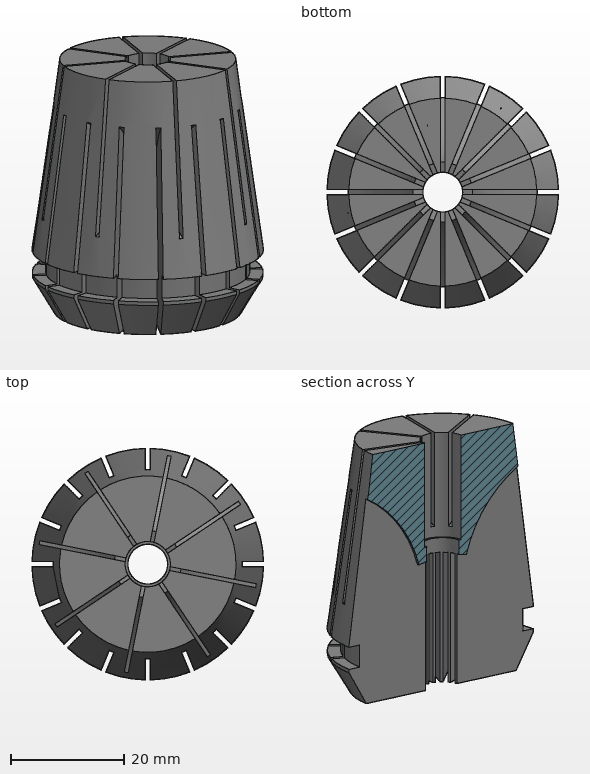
import cadquery as cq
import math

length = 46.0
outer_diameter = 41.0
outer_radius = outer_diameter / 2
nose_radius = 16.6
flange_edge_z = 6.4
groove_bottom_z = 7.05
groove_top_z = 11.15
groove_radius = 18.1
flange_radius = 20.42
taper_angle = 8.0

bore_radius = 3.5
relief_radius = 4.0
relief_depth = 19.3

bottom_slot_count = 16
bottom_slot_width = 0.87
bottom_slot_end_z = 37.85
bottom_slot_ridge_z = 23.65
bottom_slot_ridge_radius = 5.3
bottom_slot_arc_radius = 23.7

top_slot_count = 8
top_slot_width = 0.7
top_slot_end_z = 18.12
top_slot_ridge_z = 29.03
top_slot_ridge_radius = 5.95
top_slot_arc_radius = 18.25

ridge_slope = 10.0

clearance = 2.3


def taper_radius(z):
    """Outer radius of the long taper at height z."""
    return outer_radius - (z - groove_top_z) * math.tan(math.radians(taper_angle))


def make_body():
    """Tapered sleeve with the nose flange, groove and stepped bore."""
    step_z = length - relief_depth
    return (
        cq.Workplane("XZ")
        .moveTo(bore_radius, 0)
        .lineTo(nose_radius, 0)
        .lineTo(flange_radius, flange_edge_z)
        .lineTo(flange_radius, groove_bottom_z)
        .lineTo(groove_radius, groove_bottom_z)
        .lineTo(groove_radius, groove_top_z)
        .lineTo(outer_radius, groove_top_z)
        .lineTo(taper_radius(length), length)
        .lineTo(relief_radius, length)
        .lineTo(relief_radius, step_z)
        .lineTo(bore_radius, step_z)
        .close()
        .revolve(360, (0, 0, 0), (0, 1, 0))
    )


def make_slot(open_z, end_z, ridge_z, ridge_radius, arc_radius, width):
    """Cutter for one radial slot along +X, from the open end to its curved floor."""
    side = math.copysign(1, end_z - open_z)
    far_radius = outer_radius + clearance
    start_z = open_z - side * clearance
    axis_z = ridge_z + side * ridge_radius * math.tan(math.radians(ridge_slope))
    return (
        cq.Workplane("XZ")
        .moveTo(0, start_z)
        .lineTo(far_radius, start_z)
        .lineTo(far_radius, end_z)
        .lineTo(taper_radius(end_z), end_z)
        .radiusArc((ridge_radius, ridge_z), -side * arc_radius)
        .lineTo(0, axis_z)
        .close()
        .extrude(width / 2, both=True)
    )


def cut_ring(body, slot, count, first_angle):
    """Cut the slot count times, evenly spaced around the axis."""
    for index in range(count):
        angle = first_angle + index * 360 / count
        body = body.cut(slot.rotate((0, 0, 0), (0, 0, 1), angle))
    return body


bottom_slot = make_slot(
    open_z=0,
    end_z=bottom_slot_end_z,
    ridge_z=bottom_slot_ridge_z,
    ridge_radius=bottom_slot_ridge_radius,
    arc_radius=bottom_slot_arc_radius,
    width=bottom_slot_width,
)
top_slot = make_slot(
    open_z=length,
    end_z=top_slot_end_z,
    ridge_z=top_slot_ridge_z,
    ridge_radius=top_slot_ridge_radius,
    arc_radius=top_slot_arc_radius,
    width=top_slot_width,
)

half_pitch = 180 / bottom_slot_count

result = make_body()
result = cut_ring(result, bottom_slot, bottom_slot_count, 0)
result = cut_ring(result, top_slot, top_slot_count, -half_pitch)